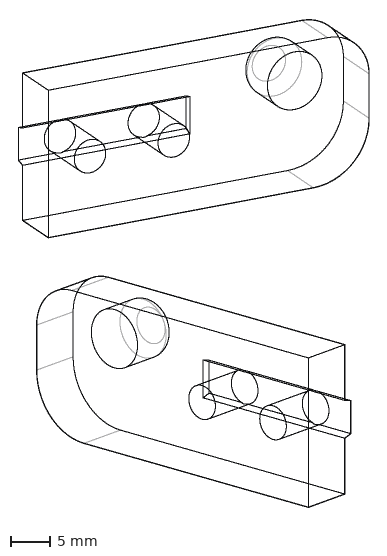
import cadquery as cq

length = 46.0
height = 20.0
thickness = 7.0
upper_corner_radius = 6.0
lower_corner_radius = 8.0

pin_diameter = 7.8
pin_projection = 7.0
pin_edge_radius = 1.5
pin_from_end = 7.0
pin_from_top = 8.0

rail_length = 24.0
rail_projection = 1.15
rail_base_width = 5.05
rail_crest_width = 4.4

hole_diameter = 4.5
hole_spacing = 12.0
first_hole_from_end = 6.0


def make_plate():
    """Plate with its -X face on X = 0, its -Y end on Y = 0 and mid-height on Z = 0."""
    plate = cq.Workplane("XY").box(thickness, length, height, centered=(False, False, True))
    plate = plate.edges("|X and >Y and >Z").fillet(upper_corner_radius)
    return plate.edges("|X and >Y and <Z").fillet(lower_corner_radius)


def make_pin():
    """Round pin pointing along -X with a rounded tip."""
    pin = (
        cq.Workplane("YZ")
        .center(length - pin_from_end, height / 2 - pin_from_top)
        .circle(pin_diameter / 2)
        .extrude(-pin_projection)
    )
    return pin.faces("<X").edges().fillet(pin_edge_radius)


def make_rail():
    """Trapezoidal rail, narrower at its crest."""
    profile = [
        (0, -rail_base_width / 2),
        (-rail_projection, -rail_crest_width / 2),
        (-rail_projection, rail_crest_width / 2),
        (0, rail_base_width / 2),
    ]
    return cq.Workplane("XZ").polyline(profile).close().extrude(-rail_length)


def make_holes():
    """Cutters for the two holes through rail and plate."""
    centers = [(first_hole_from_end + i * hole_spacing, 0) for i in range(2)]
    return (
        cq.Workplane("YZ", origin=(-rail_projection, 0, 0))
        .pushPoints(centers)
        .circle(hole_diameter / 2)
        .extrude(rail_projection + thickness)
    )


result = make_plate().union(make_pin()).union(make_rail()).cut(make_holes())